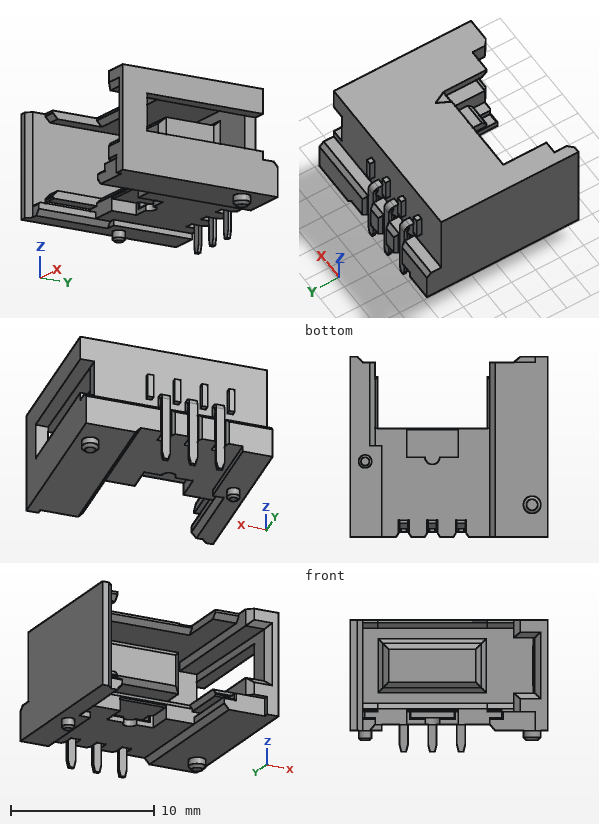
import cadquery as cq


WIDTH = 13.8
DEPTH = 12.6
HEIGHT = 7.71
REAR_WALL_Y = 11.41
LEDGE_TOP = 2.55
LEDGE_CHAMFER = 0.35

LEAD_IN = 0.4
FRAME_FLARE_WIDTH = 0.47
CAVITY_LEFT = 0.9
CAVITY_RIGHT = 11.41
CAVITY_FLOOR = 1.9
CAVITY_CEILING = 7.13
CAVITY_END = 10.52
SLAB_FRONT = 1.42

KEYWAY_BOTTOM = 2.61
KEYWAY_TOP = 6.47
KEYWAY_RIGHT = 12.89
KEYWAY_DRAFT = 0.12

WINDOW_FRONT = 1.96
WINDOW_BOTTOM = 3.15
WINDOW_TOP = 5.89

NOTCH_LEFT = 1.92
NOTCH_RIGHT = 9.58
NOTCH_END = 5.01

MARK_WIDTH = 1.02
MARK_LENGTH = 1.01
MARK_DEPTH = 0.05

RAIL_FRONT = LEAD_IN
RAIL_TOP = 0.9
RAIL_STEP_TOP = 1.31
RAIL_STEP_X = 10.58
LEFT_RAIL_STEP_X = 1.01
RAIL_LEAD_IN = 0.11
RAIL_LEFT_EDGE = 1.74
RAIL_RIGHT_EDGE = 9.74
RIGHT_POST_X = 12.9
SLAB_UNDERSIDE = 1.3

CHANNEL_DEPTH = 0.41
CHANNEL_CHAMFER = 0.37
PAD_RIGHT = 2.21
PAD_FRONT = 6.21

POCKET_CENTER_X = 5.74
POCKET_WIDTH = 3.6
POCKET_DEPTH = 2.0
INNER_POCKET_WIDTH = 3.16
INNER_POCKET_DEPTH = 2.0
INNER_POCKET_SIDE_BEVEL = 0.07
LIP_NOTCH_RADIUS = 0.51

TONGUE_TIP_Y = 5.9
TONGUE_CENTER_X = 5.73
TONGUE_CENTER_Z = 4.53
TONGUE_WIDTH = 6.87
TONGUE_HEIGHT = 3.09
TONGUE_FOOT_BEVEL = 0.33
TONGUE_CHAMFER = 0.4

PIN_COUNT = 3
PIN_PITCH = 2.0
PIN_CENTER_X = 5.74
PIN_WIDTH = 0.61
PIN_TIP_WIDTH = 0.35
PIN_THICKNESS = 0.25
PIN_REAR_Y = 12.25
PIN_TOP = 3.88
PIN_BEND_RADIUS = 0.47
PIN_BOTTOM = -1.49
PIN_TIP_LENGTH = 0.51

PIN_SLOT_WIDTH = 0.72
PIN_SLOT_FLARE = 0.18
PIN_SLOT_FLARE_LENGTH = 0.28

SUPPORT_TOP_Y = 12.03
SUPPORT_KNEE_DROP = 0.39
SUPPORT_FOOT_Y = 11.63

RIB_COUNT = 4
RIB_WIDTH = 0.41
RIB_DEPTH = 0.4
RIB_BOTTOM = 3.6
RIB_TOP = 5.4

PEG_HEIGHT = 0.69
LEFT_PEG = (1.05, 7.31, 0.45, 0.17)
RIGHT_PEG = (12.7, 10.34, 0.61, 0.22)


def block(x0, x1, y0, y1, z0, z1):
    return cq.Workplane("XY").box(x1 - x0, y1 - y0, z1 - z0, centered=False).translate((x0, y0, z0))


def prism_x(points, x0, x1):
    """Extrude a (y, z) outline from x0 to x1."""
    return cq.Workplane("YZ").workplane(offset=x0).polyline(points).close().extrude(x1 - x0)


def prism_y(points, y0, y1):
    """Extrude an (x, z) outline from y0 to y1."""
    return cq.Workplane("XZ").workplane(offset=-y0).polyline(points).close().extrude(y0 - y1)


def prism_z(points, z0, z1):
    """Extrude an (x, y) outline from z0 to z1."""
    return cq.Workplane("XY").workplane(offset=z0).polyline(points).close().extrude(z1 - z0)


def edge_chamfer(x0, x1, y, z, dy, dz):
    """Triangular cutter along X whose right angle lies on the edge at (y, z)."""
    return prism_x([(y, z), (y + dy, z), (y, z + dz)], x0, x1)


def housing_block():
    outline = [
        (0, 0),
        (DEPTH, 0),
        (DEPTH, LEDGE_TOP - LEDGE_CHAMFER),
        (DEPTH - LEDGE_CHAMFER, LEDGE_TOP),
        (REAR_WALL_Y, LEDGE_TOP),
        (REAR_WALL_Y, HEIGHT),
        (0, HEIGHT),
    ]
    return prism_x(outline, 0, WIDTH)


def cut_cavity(body):
    body = body.cut(block(CAVITY_LEFT, CAVITY_RIGHT, 0, CAVITY_END, CAVITY_FLOOR, CAVITY_CEILING))
    body = body.cut(block(CAVITY_LEFT, CAVITY_RIGHT, 0, SLAB_FRONT, RAIL_STEP_TOP, HEIGHT))
    left_flare = [(CAVITY_LEFT, 0), (CAVITY_LEFT - LEAD_IN, 0), (CAVITY_LEFT, LEAD_IN)]
    right_flare = [(CAVITY_RIGHT, 0), (CAVITY_RIGHT + FRAME_FLARE_WIDTH, 0), (CAVITY_RIGHT, LEAD_IN)]
    body = body.cut(prism_z(left_flare, 0, HEIGHT))
    return body.cut(prism_z(right_flare, RAIL_STEP_TOP, HEIGHT))


def cut_keyway(body):
    start_x = CAVITY_RIGHT - LEAD_IN
    outline = [
        (start_x, 0),
        (KEYWAY_RIGHT, 0),
        (KEYWAY_RIGHT, LEAD_IN),
        (KEYWAY_RIGHT - KEYWAY_DRAFT, CAVITY_END),
        (start_x, CAVITY_END),
    ]
    body = body.cut(prism_z(outline, KEYWAY_BOTTOM, KEYWAY_TOP))
    flare_width = KEYWAY_RIGHT - start_x + 2 * LEAD_IN
    flare_height = KEYWAY_TOP - KEYWAY_BOTTOM + 2 * LEAD_IN
    flare = (
        cq.Workplane("ZX")
        .center((KEYWAY_BOTTOM + KEYWAY_TOP) / 2, (start_x + KEYWAY_RIGHT) / 2)
        .rect(flare_height, flare_width)
        .extrude(LEAD_IN, taper=45)
    )
    body = body.cut(flare)
    window_floor = KEYWAY_RIGHT - KEYWAY_DRAFT
    return body.cut(block(window_floor, WIDTH, WINDOW_FRONT, REAR_WALL_Y, WINDOW_BOTTOM, WINDOW_TOP))


def cut_latch_notch(body):
    body = body.cut(block(NOTCH_LEFT, NOTCH_RIGHT, 0, NOTCH_END, RAIL_TOP, HEIGHT))
    for x0, x1, y in ((CAVITY_LEFT, CAVITY_RIGHT, SLAB_FRONT), (NOTCH_LEFT, NOTCH_RIGHT, NOTCH_END)):
        body = body.cut(edge_chamfer(x0, x1, y, CAVITY_CEILING, LEAD_IN, LEAD_IN))
        body = body.cut(edge_chamfer(x0, x1, y, CAVITY_FLOOR, LEAD_IN, -LEAD_IN))
    return body


def cut_pin_mark(body):
    left = NOTCH_RIGHT - MARK_WIDTH
    tip = (left + MARK_WIDTH / 2, NOTCH_END + MARK_LENGTH)
    triangle = [(left, NOTCH_END), (NOTCH_RIGHT, NOTCH_END), tip]
    return body.cut(prism_z(triangle, HEIGHT - MARK_DEPTH, HEIGHT))


def cut_rails(body):
    body = body.cut(block(CAVITY_LEFT, RIGHT_POST_X, 0, RAIL_FRONT, 0, RAIL_STEP_TOP))
    body = body.cut(block(CAVITY_LEFT, RAIL_STEP_X, 0, SLAB_FRONT, RAIL_TOP, RAIL_STEP_TOP))
    body = body.cut(block(LEFT_RAIL_STEP_X, RAIL_STEP_X, 0, NOTCH_END, RAIL_TOP, SLAB_UNDERSIDE))
    body = body.cut(block(RAIL_LEFT_EDGE, RAIL_RIGHT_EDGE, 0, NOTCH_END, 0, SLAB_UNDERSIDE))
    body = body.cut(
        edge_chamfer(CAVITY_LEFT, RAIL_STEP_X, SLAB_FRONT, SLAB_UNDERSIDE, RAIL_LEAD_IN, RAIL_LEAD_IN)
    )
    body = body.cut(
        edge_chamfer(CAVITY_LEFT, RAIL_STEP_X, RAIL_FRONT, RAIL_TOP, RAIL_LEAD_IN, -RAIL_LEAD_IN)
    )
    for x, y, direction in ((LEFT_RAIL_STEP_X, SLAB_FRONT, -1), (RAIL_STEP_X, RAIL_FRONT, 1)):
        corner = [(x, y), (x + direction * RAIL_LEAD_IN, y), (x, y + RAIL_LEAD_IN)]
        body = body.cut(prism_z(corner, RAIL_TOP - RAIL_LEAD_IN, RAIL_STEP_TOP))
    return body


def cut_underside(body):
    channel = [
        (RAIL_LEFT_EDGE - CHANNEL_CHAMFER, 0),
        (RAIL_LEFT_EDGE, CHANNEL_DEPTH),
        (RAIL_RIGHT_EDGE, CHANNEL_DEPTH),
        (RAIL_RIGHT_EDGE + CHANNEL_CHAMFER, 0),
    ]
    pad = block(0, PAD_RIGHT, PAD_FRONT, DEPTH, 0, CHANNEL_DEPTH)
    return body.cut(prism_y(channel, 0, DEPTH).cut(pad))


def cut_latch_pocket(body):
    left = POCKET_CENTER_X - POCKET_WIDTH / 2
    right = POCKET_CENTER_X + POCKET_WIDTH / 2
    lip_y = NOTCH_END + POCKET_DEPTH
    inner_end = lip_y + INNER_POCKET_DEPTH
    body = body.cut(block(left, right, NOTCH_END, lip_y, CHANNEL_DEPTH, SLAB_UNDERSIDE))
    body = body.cut(edge_chamfer(left, right, NOTCH_END, SLAB_UNDERSIDE, RAIL_LEAD_IN, RAIL_LEAD_IN))
    inner_left = POCKET_CENTER_X - INNER_POCKET_WIDTH / 2
    inner_right = POCKET_CENTER_X + INNER_POCKET_WIDTH / 2
    inner = [
        (inner_left, lip_y),
        (inner_right, lip_y),
        (inner_right - INNER_POCKET_SIDE_BEVEL, lip_y + RAIL_LEAD_IN),
        (inner_right - INNER_POCKET_SIDE_BEVEL, inner_end),
        (inner_left + INNER_POCKET_SIDE_BEVEL, inner_end),
        (inner_left + INNER_POCKET_SIDE_BEVEL, lip_y + RAIL_LEAD_IN),
    ]
    body = body.cut(prism_z(inner, RAIL_TOP, SLAB_UNDERSIDE))
    body = body.cut(edge_chamfer(inner_left, inner_right, lip_y, RAIL_TOP, RAIL_LEAD_IN, -RAIL_LEAD_IN))
    lip_notch = (
        cq.Workplane("XY")
        .workplane(offset=CHANNEL_DEPTH)
        .center(POCKET_CENTER_X, lip_y)
        .circle(LIP_NOTCH_RADIUS)
        .extrude(RAIL_TOP - CHANNEL_DEPTH)
    )
    return body.cut(lip_notch)


def tongue_plane(y):
    """Plane across the tongue at depth y, facing the mouth."""
    return cq.Workplane("XZ").workplane(offset=-y).center(TONGUE_CENTER_X, TONGUE_CENTER_Z)


def add_tongue(body):
    """Straight tongue with a bevelled tip and a bevelled foot on the cavity end."""
    straight_front = TONGUE_TIP_Y + TONGUE_CHAMFER
    shank = tongue_plane(CAVITY_END).rect(TONGUE_WIDTH, TONGUE_HEIGHT)
    tip = tongue_plane(straight_front).rect(TONGUE_WIDTH, TONGUE_HEIGHT)
    foot = tongue_plane(CAVITY_END).rect(
        TONGUE_WIDTH + 2 * TONGUE_FOOT_BEVEL, TONGUE_HEIGHT + 2 * TONGUE_FOOT_BEVEL
    )
    body = body.union(shank.extrude(CAVITY_END - straight_front))
    body = body.union(tip.extrude(TONGUE_CHAMFER, taper=45))
    return body.union(foot.extrude(TONGUE_FOOT_BEVEL, taper=45))


def spread(count, center, pitch):
    """Evenly spaced positions about a centre."""
    return [center + (i - (count - 1) / 2) * pitch for i in range(count)]


def pin(x):
    inner_y = PIN_REAR_Y - PIN_THICKNESS
    inner_radius = PIN_BEND_RADIUS - PIN_THICKNESS
    bend_y = PIN_REAR_Y - PIN_BEND_RADIUS
    bend_z = PIN_TOP - PIN_BEND_RADIUS
    diagonal = 0.5 ** 0.5
    bent_strip = (
        cq.Workplane("YZ")
        .workplane(offset=x - PIN_WIDTH / 2)
        .moveTo(CAVITY_END, PIN_TOP)
        .lineTo(bend_y, PIN_TOP)
        .threePointArc(
            (bend_y + PIN_BEND_RADIUS * diagonal, bend_z + PIN_BEND_RADIUS * diagonal),
            (PIN_REAR_Y, bend_z),
        )
        .lineTo(PIN_REAR_Y, PIN_BOTTOM)
        .lineTo(inner_y, PIN_BOTTOM)
        .lineTo(inner_y, bend_z)
        .threePointArc(
            (bend_y + inner_radius * diagonal, bend_z + inner_radius * diagonal),
            (bend_y, bend_z + inner_radius),
        )
        .lineTo(CAVITY_END, bend_z + inner_radius)
        .close()
        .extrude(PIN_WIDTH)
    )
    for side in (-1, 1):
        edge = x + side * PIN_WIDTH / 2
        corner = [
            (edge, PIN_BOTTOM),
            (x + side * PIN_TIP_WIDTH / 2, PIN_BOTTOM),
            (edge, PIN_BOTTOM + PIN_TIP_LENGTH),
        ]
        bent_strip = bent_strip.cut(prism_y(corner, inner_y, PIN_REAR_Y))
    return bent_strip


def pin_slot(x):
    half = PIN_SLOT_WIDTH / 2
    flare_y = DEPTH - PIN_SLOT_FLARE_LENGTH
    outline = [
        (x - half, REAR_WALL_Y),
        (x + half, REAR_WALL_Y),
        (x + half, flare_y),
        (x + half + PIN_SLOT_FLARE, DEPTH),
        (x - half - PIN_SLOT_FLARE, DEPTH),
        (x - half, flare_y),
    ]
    return prism_z(outline, 0, LEDGE_TOP)


def pin_support(x):
    outline = [
        (REAR_WALL_Y, LEDGE_TOP),
        (SUPPORT_FOOT_Y, LEDGE_TOP),
        (SUPPORT_TOP_Y, RIB_BOTTOM - SUPPORT_KNEE_DROP),
        (PIN_REAR_Y - PIN_BEND_RADIUS, RIB_BOTTOM + PIN_THICKNESS / 2),
        (REAR_WALL_Y, RIB_BOTTOM + PIN_THICKNESS / 2),
    ]
    return prism_x(outline, x - PIN_WIDTH / 2, x + PIN_WIDTH / 2)


def add_pins(body):
    for x in spread(PIN_COUNT, PIN_CENTER_X, PIN_PITCH):
        body = body.cut(pin_slot(x)).union(pin_support(x)).union(pin(x))
    return body


def add_ribs(body):
    for x in spread(RIB_COUNT, PIN_CENTER_X, PIN_PITCH):
        x0 = x - RIB_WIDTH / 2
        body = body.union(
            block(x0, x0 + RIB_WIDTH, REAR_WALL_Y, REAR_WALL_Y + RIB_DEPTH, RIB_BOTTOM, RIB_TOP)
        )
    return body


def add_pegs(body):
    for x, y, radius, tip_chamfer in (LEFT_PEG, RIGHT_PEG):
        peg = cq.Workplane("XY").center(x, y).circle(radius).extrude(-PEG_HEIGHT)
        body = body.union(peg.faces("<Z").chamfer(tip_chamfer))
    return body


result = housing_block()
result = cut_cavity(result)
result = cut_keyway(result)
result = cut_latch_notch(result)
result = cut_pin_mark(result)
result = cut_rails(result)
result = cut_underside(result)
result = cut_latch_pocket(result)
result = add_tongue(result)
result = add_pins(result)
result = add_ribs(result)
result = add_pegs(result)